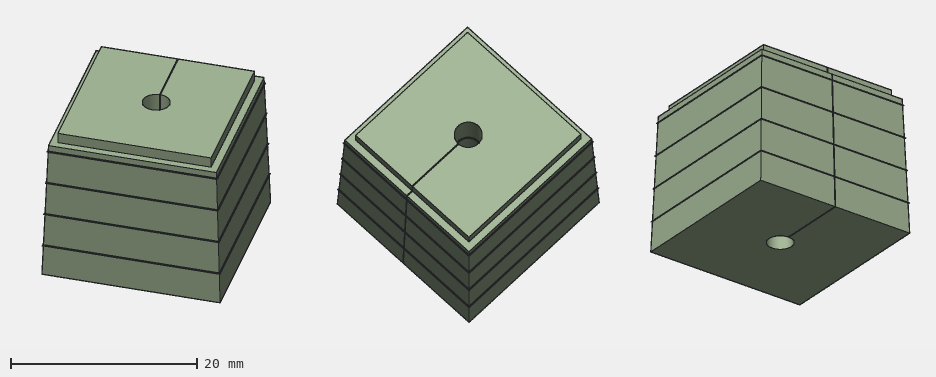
import cadquery as cq
import math

base_width = 19.9
body_height = 16.5
draft_angle = 2.0
plate_width = 17.1
total_height = 17.7

first_ridge_height = 3.7
ridge_pitch = 4.0
ridge_count = 4
ridge_projection = 0.1
ridge_height = ridge_projection

bore_diameter = 3.0
throat_diameter = 2.8
first_lip_height = first_ridge_height - ridge_pitch / 2
lip_count = ridge_count
slit_width = 0.1


def body_width_at(height):
    """Width of the tapered body at a height above its base."""
    return base_width - 2 * height * math.tan(math.radians(draft_angle))


def tapered_block(bottom, bottom_width, top, top_width):
    """Square block whose sides run straight from one width to another."""
    return (
        cq.Workplane("XY", origin=(0, 0, bottom))
        .rect(bottom_width, bottom_width)
        .workplane(offset=top - bottom)
        .rect(top_width, top_width)
        .loft(ruled=True)
    )


def outer_ridge(bottom):
    """Sharp ridge that slopes back into the body face above it."""
    top = bottom + ridge_height
    tip_width = body_width_at(bottom) + 2 * ridge_projection
    return tapered_block(bottom, tip_width, top, body_width_at(top))


def bore_cutter():
    """Bore narrowed by evenly spaced sharp lips, each sloping back to the wall above it."""
    bore_radius = bore_diameter / 2
    throat_radius = throat_diameter / 2
    lip_height = bore_radius - throat_radius
    profile = [(0, 0), (bore_radius, 0)]
    for index in range(lip_count):
        lip_bottom = first_lip_height + index * ridge_pitch
        profile += [
            (bore_radius, lip_bottom),
            (throat_radius, lip_bottom),
            (bore_radius, lip_bottom + lip_height),
        ]
    profile += [(bore_radius, total_height), (0, total_height)]
    return cq.Workplane("YZ").polyline(profile).close().revolve(360, (0, 0, 0), (0, 1, 0))


def slit_cutter():
    """Thin full-height cut from the bore axis out through the +Y side."""
    return cq.Workplane("XY").box(slit_width, base_width, total_height, centered=(True, False, False))


body = tapered_block(0, base_width, body_height, body_width_at(body_height))
plate = tapered_block(body_height, plate_width, total_height, plate_width)
result = body.union(plate)
for index in range(ridge_count):
    result = result.union(outer_ridge(first_ridge_height + index * ridge_pitch))
result = result.cut(bore_cutter()).cut(slit_cutter())